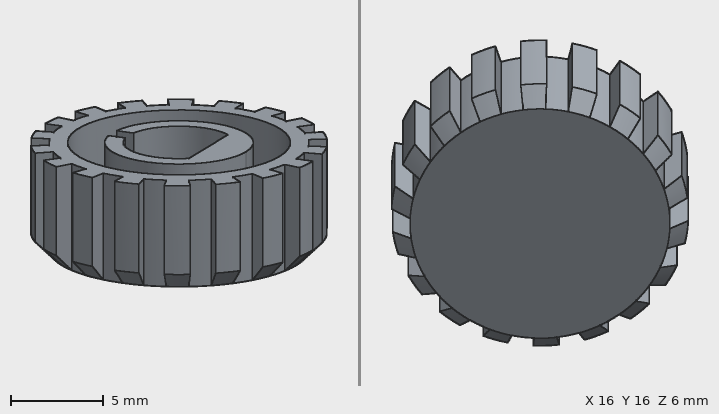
import cadquery as cq
import math

outer_diameter = 16.0
root_diameter = 14.0
height = 6.0
tooth_count = 18
recess_diameter = 12.0
floor_thickness = 1.4
hub_diameter = 8.0
bore_diameter = 6.0
bore_flat_offset = 1.76

outer_radius = outer_diameter / 2
root_radius = root_diameter / 2
hub_radius = hub_diameter / 2
bore_radius = bore_diameter / 2
tooth_pitch = 360 / tooth_count
tooth_angle = tooth_pitch / 2
gap_angle = tooth_pitch - tooth_angle
bevel = outer_radius - root_radius
slot_width = hub_radius - bore_radius
recess_depth = height - floor_thickness


def polar(radius, angle):
    """Point at the given radius and angle in degrees."""
    radians = math.radians(angle)
    return (radius * math.cos(radians), radius * math.sin(radians))


def cylinder(radius, length):
    """Cylinder standing on the XY plane."""
    return cq.Workplane("XY").circle(radius).extrude(length)


def block_along_x(x_start, length, width):
    """Block of recess height standing on the XY plane, centred on the X axis."""
    block = cq.Workplane("XY").box(length, width, recess_depth, centered=(False, True, False))
    return block.translate((x_start, 0, 0))


def toothed_blank():
    """Solid wheel with radial-sided teeth, bevelled at the bottom."""
    outline = cq.Workplane("XY").moveTo(*polar(root_radius, -tooth_angle))
    for index in range(tooth_count):
        tooth_end = index * tooth_pitch
        tooth_start = tooth_end - tooth_angle
        gap_end = tooth_end + gap_angle
        tooth_middle = (tooth_start + tooth_end) / 2
        gap_middle = (tooth_end + gap_end) / 2
        outline = (
            outline.lineTo(*polar(outer_radius, tooth_start))
            .threePointArc(polar(outer_radius, tooth_middle), polar(outer_radius, tooth_end))
            .lineTo(*polar(root_radius, tooth_end))
            .threePointArc(polar(root_radius, gap_middle), polar(root_radius, gap_end))
        )
    wheel = outline.close().extrude(height)
    bevelled_envelope = cylinder(outer_radius, height).faces("<Z").chamfer(bevel)
    return wheel.intersect(bevelled_envelope)


def slotted_hub():
    """Hub with a D-shaped bore, flat on +X, and a slot through its wall on -X."""
    beyond_flat = block_along_x(bore_flat_offset, bore_radius, bore_diameter)
    d_bore = cylinder(bore_radius, recess_depth).cut(beyond_flat)
    slot = block_along_x(-hub_radius, hub_radius, slot_width)
    return cylinder(hub_radius, recess_depth).cut(d_bore).cut(slot)


recess = cylinder(recess_diameter / 2, recess_depth).cut(slotted_hub())
result = toothed_blank().cut(recess.translate((0, 0, floor_thickness)))